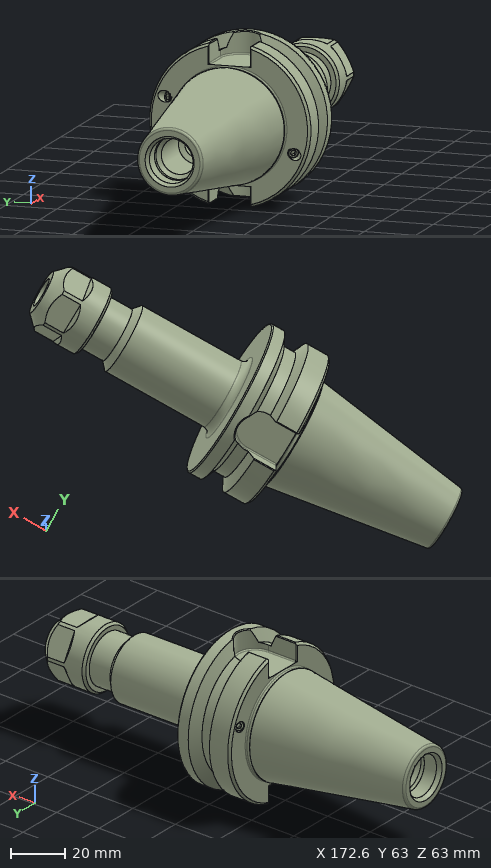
import cadquery as cq
import math

OVERALL_LENGTH = 172.59

EDGE_TOLERANCE = 0.01

GAUGE_X = 65.4
GAUGE_RADIUS = 44.45 / 2
TAPER_SLOPE = (7 / 24) / 2
SMALL_END_RADIUS = GAUGE_RADIUS - GAUGE_X * TAPER_SLOPE
SMALL_END_FILLET = 1.0
COLLAR_CHAMFER = 0.3
COLLAR_FILLET = 0.5

FLANGE_RADIUS = 62.99 / 2
FLANGE_START_X = GAUGE_X + 2.0
FLANGE_END_X = GAUGE_X + 27.0
FLANGE_START_CHAMFER = 1.0
FLANGE_END_CHAMFER = 0.5
GROOVE_CENTRE_X = GAUGE_X + 16.6
GROOVE_HALF_WIDTH = 5.0
GROOVE_RADIUS = 26.5
GROOVE_FLANK_LENGTH = 2.5

SLOT_WIDTH = 16.1
SLOT_FLOOR_Z = 22.5
SLOT_END_X = 88.6
SLOT_FLOOR_FILLET = 0.5
SLOT_RIM_CHAMFER = 0.4

SHANK_RADIUS = 28.0 / 2
SHANK_FILLET = 3.0
SHANK_CHAMFER_X = 137.5
NECK_RADIUS = 22.0 / 2
NECK_START_X = 140.2

BORE_RADIUS = 9.73 / 2
PILOT_RADIUS = 17.01 / 2
PILOT_MOUTH_RADIUS = 19.1 / 2
PILOT_DEPTH = 7.5
RELIEF_RADIUS = 16.95 / 2
RELIEF_LENGTH = 1.6
MOUTH_HALF_ANGLE = 30.0
DRILL_POINT_HALF_ANGLE = 59.0
THREAD_HOLE_RADIUS = 13.84 / 2
THREAD_HOLE_DEPTH = 30.0

NUT_RADIUS = 28.0 / 2
NUT_START_X = 150.0
NUT_START_CHAMFER = 1.0
NUT_END_RADIUS = 17.62 / 2
NUT_FLAT_COUNT = 6
NUT_ACROSS_FLATS = 25.0
NUT_FLAT_START_X = 159.5
NUT_LIP_THICKNESS = 3.0
NUT_MOUTH_RADIUS = 11.5 / 2
NECK_END_X = OVERALL_LENGTH - NUT_LIP_THICKNESS

COOLANT_CIRCLE_RADIUS = 27.0
COOLANT_ANGLES = (20.0, 200.0)
COOLANT_LEAN = 35.0
COOLANT_HOLE_RADIUS = 4.2 / 2
SCREW_RECESS = 1.55
SCREW_LENGTH = 4.0
SOCKET_ACROSS_FLATS = 2.0
SOCKET_DEPTH = 1.5
SCREW_CHAMFER = 0.3


def revolve_about_x(profile):
    """Turn a closed profile, given as (x, radius), about the X axis."""
    return profile.close().revolve(360, (0, 0, 0), (1, 0, 0))


def ring_at(x, radius):
    """Selector for the circular edge of one radius at one place along the X axis."""
    reach = radius + EDGE_TOLERANCE
    near = (x - EDGE_TOLERANCE, -reach, -reach)
    far = (x + EDGE_TOLERANCE, reach, reach)
    outside = cq.selectors.BoxSelector(near, far, boundingbox=True)
    inner = radius - EDGE_TOLERANCE
    inside = cq.selectors.BoxSelector(
        (near[0], -inner, -inner), (far[0], inner, inner), boundingbox=True
    )
    return outside - inside


def holder_blank():
    groove_start = GROOVE_CENTRE_X - GROOVE_HALF_WIDTH
    groove_end = GROOVE_CENTRE_X + GROOVE_HALF_WIDTH
    collar_radius = GAUGE_RADIUS - COLLAR_CHAMFER
    fillet_middle = SHANK_FILLET * (1 - math.sqrt(0.5))
    outline = (
        cq.Workplane("XY")
        .moveTo(0, BORE_RADIUS)
        .lineTo(0, SMALL_END_RADIUS)
        .lineTo(GAUGE_X, GAUGE_RADIUS)
        .lineTo(GAUGE_X + COLLAR_CHAMFER, collar_radius)
        .lineTo(FLANGE_START_X, collar_radius)
        .lineTo(FLANGE_START_X, FLANGE_RADIUS - FLANGE_START_CHAMFER)
        .lineTo(FLANGE_START_X + FLANGE_START_CHAMFER, FLANGE_RADIUS)
        .lineTo(groove_start, FLANGE_RADIUS)
        .lineTo(groove_start + GROOVE_FLANK_LENGTH, GROOVE_RADIUS)
        .lineTo(groove_end - GROOVE_FLANK_LENGTH, GROOVE_RADIUS)
        .lineTo(groove_end, FLANGE_RADIUS)
        .lineTo(FLANGE_END_X - FLANGE_END_CHAMFER, FLANGE_RADIUS)
        .lineTo(FLANGE_END_X, FLANGE_RADIUS - FLANGE_END_CHAMFER)
        .lineTo(FLANGE_END_X, SHANK_RADIUS + SHANK_FILLET)
        .threePointArc(
            (FLANGE_END_X + fillet_middle, SHANK_RADIUS + fillet_middle),
            (FLANGE_END_X + SHANK_FILLET, SHANK_RADIUS),
        )
        .lineTo(SHANK_CHAMFER_X, SHANK_RADIUS)
        .lineTo(NECK_START_X, NECK_RADIUS)
        .lineTo(NECK_END_X, NECK_RADIUS)
        .lineTo(NECK_END_X, BORE_RADIUS)
    )
    blank = revolve_about_x(outline)
    blank = blank.edges(ring_at(0, SMALL_END_RADIUS)).fillet(SMALL_END_FILLET)
    return blank.edges(ring_at(FLANGE_START_X, collar_radius)).fillet(COLLAR_FILLET)


def pull_stud_hole():
    mouth_length = (PILOT_MOUTH_RADIUS - PILOT_RADIUS) / math.tan(math.radians(MOUTH_HALF_ANGLE))
    relief_end = PILOT_DEPTH + RELIEF_LENGTH
    thread_start = relief_end + RELIEF_RADIUS - THREAD_HOLE_RADIUS
    bottom_cone = (THREAD_HOLE_RADIUS - BORE_RADIUS) / math.tan(math.radians(DRILL_POINT_HALF_ANGLE))
    bore_start = THREAD_HOLE_DEPTH + bottom_cone
    outline = (
        cq.Workplane("XY")
        .lineTo(0, PILOT_MOUTH_RADIUS)
        .lineTo(mouth_length, PILOT_RADIUS)
        .lineTo(PILOT_DEPTH, PILOT_RADIUS)
        .lineTo(PILOT_DEPTH, RELIEF_RADIUS)
        .lineTo(relief_end, RELIEF_RADIUS)
        .lineTo(thread_start, THREAD_HOLE_RADIUS)
        .lineTo(THREAD_HOLE_DEPTH, THREAD_HOLE_RADIUS)
        .lineTo(bore_start, BORE_RADIUS)
        .lineTo(bore_start, 0)
    )
    return revolve_about_x(outline)


def driving_slot():
    """Round-ended slot cutter for the +Z side, open towards -X."""
    end_radius = SLOT_WIDTH / 2
    end_centre_x = SLOT_END_X - end_radius
    return (
        cq.Workplane("XY", origin=(0, 0, SLOT_FLOOR_Z))
        .moveTo(GAUGE_X, -end_radius)
        .lineTo(end_centre_x, -end_radius)
        .threePointArc((SLOT_END_X, 0), (end_centre_x, end_radius))
        .lineTo(GAUGE_X, end_radius)
        .close()
        .extrude(FLANGE_RADIUS)
        .edges("<Z and (not <X)")
        .fillet(SLOT_FLOOR_FILLET)
    )


def slot_lead_in():
    """Cutter that bevels the flange face along the walls of the +Z slot."""
    wall_y = SLOT_WIDTH / 2
    bevel_y = wall_y + SLOT_RIM_CHAMFER
    bevel_x = FLANGE_START_X + SLOT_RIM_CHAMFER
    return (
        cq.Workplane("XY", origin=(0, 0, SLOT_FLOOR_Z))
        .moveTo(FLANGE_START_X, -bevel_y)
        .lineTo(bevel_x, -wall_y)
        .lineTo(bevel_x, wall_y)
        .lineTo(FLANGE_START_X, bevel_y)
        .close()
        .extrude(FLANGE_RADIUS)
    )


def edge_through(x, y, z):
    """Selector for an edge whose middle lies at one point."""
    play = EDGE_TOLERANCE
    return cq.selectors.BoxSelector((x - play, y - play, z - play), (x + play, y + play, z + play))


def slot_end_edge(side):
    """Selector for the curved edge where the slot's round end meets the flange rim."""
    groove_end = GROOVE_CENTRE_X + GROOVE_HALF_WIDTH
    half_width = SLOT_WIDTH / 2
    return cq.selectors.BoxSelector(
        (groove_end - EDGE_TOLERANCE, -half_width, side * GROOVE_RADIUS),
        (SLOT_END_X + EDGE_TOLERANCE, half_width, side * (FLANGE_RADIUS + EDGE_TOLERANCE)),
        boundingbox=True,
    )


def bevel_slot_rims(holder):
    """Bevel the rim on both walls before the groove and round the slot's end."""
    wall_y = SLOT_WIDTH / 2
    wall_rim_z = math.sqrt(FLANGE_RADIUS**2 - wall_y**2)
    rim_start = FLANGE_START_X + FLANGE_START_CHAMFER
    rim_middle = (rim_start + GROOVE_CENTRE_X - GROOVE_HALF_WIDTH) / 2
    for side in (-1, 1):
        for y in (-wall_y, wall_y):
            wall_edge = edge_through(rim_middle, y, side * wall_rim_z)
            holder = holder.edges(wall_edge).chamfer(SLOT_RIM_CHAMFER)
        holder = holder.edges(slot_end_edge(side)).chamfer(SLOT_RIM_CHAMFER)
    return holder


def coolant_plane(angle):
    """Plane centred on a coolant hole's mouth, its normal leaning inwards along the hole."""
    lean = math.radians(COOLANT_LEAN)
    turn = math.radians(angle)
    outwards_y = math.cos(turn)
    outwards_z = math.sin(turn)
    mouth = (FLANGE_START_X, COOLANT_CIRCLE_RADIUS * outwards_y, COOLANT_CIRCLE_RADIUS * outwards_z)
    along_hole = (math.cos(lean), -math.sin(lean) * outwards_y, -math.sin(lean) * outwards_z)
    across_hole = (0, -outwards_z, outwards_y)
    return cq.Plane(origin=mouth, xDir=across_hole, normal=along_hole)


def coolant_hole(angle):
    hole_end = SCREW_RECESS + SCREW_LENGTH
    clearance = 2 * COOLANT_HOLE_RADIUS
    return (
        cq.Workplane(coolant_plane(angle))
        .workplane(offset=-clearance)
        .circle(COOLANT_HOLE_RADIUS)
        .extrude(clearance + hole_end)
    )


def make_holder():
    holder = holder_blank().cut(pull_stud_hole())
    for turn in (0, 180):
        holder = holder.cut(driving_slot().rotate((0, 0, 0), (1, 0, 0), turn))
    holder = bevel_slot_rims(holder)
    for turn in (0, 180):
        holder = holder.cut(slot_lead_in().rotate((0, 0, 0), (1, 0, 0), turn))
    for angle in COOLANT_ANGLES:
        holder = holder.cut(coolant_hole(angle))
    return holder


def make_nut():
    end_cone = NUT_RADIUS - NUT_END_RADIUS
    outline = (
        cq.Workplane("XY")
        .moveTo(NUT_START_X, NECK_RADIUS)
        .lineTo(NUT_START_X, NUT_RADIUS - NUT_START_CHAMFER)
        .lineTo(NUT_START_X + NUT_START_CHAMFER, NUT_RADIUS)
        .lineTo(OVERALL_LENGTH - end_cone, NUT_RADIUS)
        .lineTo(OVERALL_LENGTH, NUT_END_RADIUS)
        .lineTo(OVERALL_LENGTH, NUT_MOUTH_RADIUS)
        .lineTo(NECK_END_X, NUT_MOUTH_RADIUS)
        .lineTo(NECK_END_X, NECK_RADIUS)
    )
    nut = revolve_about_x(outline)
    flat_height = NUT_ACROSS_FLATS / 2
    cut_depth = NUT_RADIUS
    flat_cutter = (
        cq.Workplane("XZ")
        .moveTo(NUT_FLAT_START_X, flat_height)
        .lineTo(OVERALL_LENGTH, flat_height)
        .lineTo(OVERALL_LENGTH, flat_height + cut_depth)
        .lineTo(NUT_FLAT_START_X - cut_depth, flat_height + cut_depth)
        .close()
        .extrude(NUT_RADIUS, both=True)
    )
    for index in range(NUT_FLAT_COUNT):
        nut = nut.cut(flat_cutter.rotate((0, 0, 0), (1, 0, 0), index * 360 / NUT_FLAT_COUNT))
    return nut


def make_plug_screw(angle):
    socket_corners_diameter = SOCKET_ACROSS_FLATS / math.cos(math.radians(30))
    head = cq.Workplane(coolant_plane(angle)).workplane(offset=SCREW_RECESS)
    body = head.circle(COOLANT_HOLE_RADIUS).extrude(SCREW_LENGTH)
    body = body.edges("<X").chamfer(SCREW_CHAMFER)
    socket = head.polygon(6, socket_corners_diameter).extrude(SOCKET_DEPTH)
    return body.cut(socket)


holder = make_holder()
nut = make_nut()
plug_screws = [make_plug_screw(angle) for angle in COOLANT_ANGLES]

result = cq.Compound.makeCompound(
    [holder.val(), nut.val(), *[screw.val() for screw in plug_screws]]
)